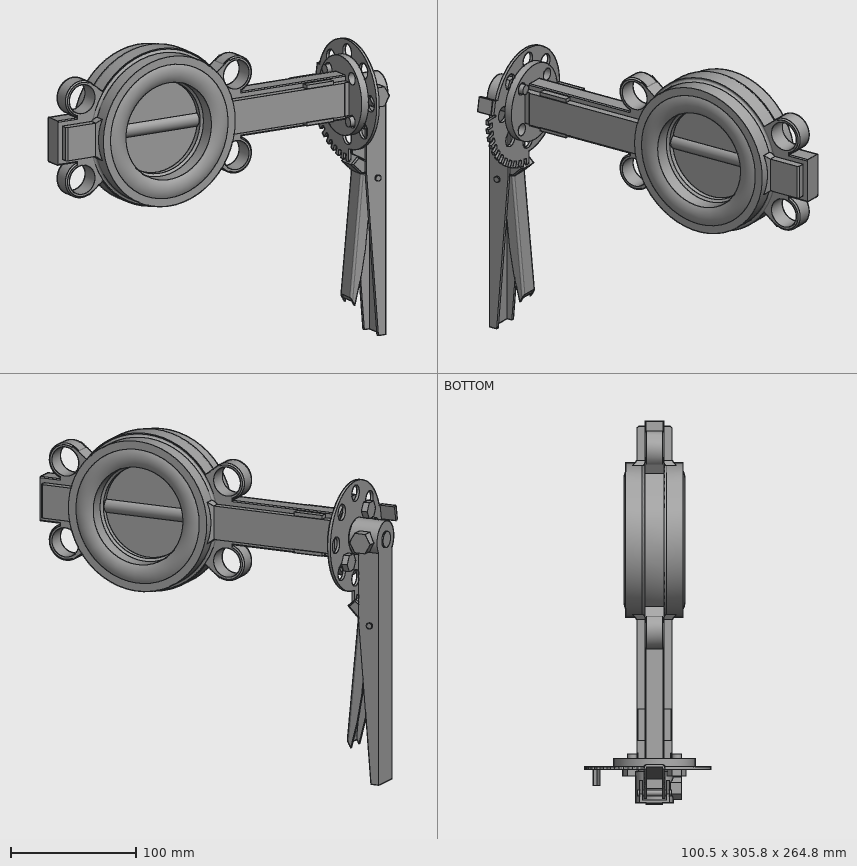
import cadquery as cq
import math


rim_radius = 64.8
rim_half_width = 7.5
drum_radius = 123.5 / 2
drum_half_width = 23.0
rim_fillet = 2.0
housing_bore_radius = 47.5

lip_radius = 110 / 2
lip_depth = 3.0
roll_crest_x = 24.5
roll_crest_radius = 49.0
roll_inner_x = 22.0
liner_bore_radius = 80.0 / 2
seat_radius = 76.0 / 2
seat_half_width = 8.0
seat_slope = 1.8

disc_half_thickness = 3.7
stem_radius = 13.0 / 2
stem_top = 211.0
stem_bottom = -76.5

web_half_width = rim_half_width
web_half_height = 18.3
web_chamfer = 1.0
core_half_width = 14.0
core_half_height = 13.8
foot_end = -94.8
foot_core_end = -90.8
foot_core_chamfer = 1.5
flare = 4.3
flare_root = 58.0
flare_tip = 63.5
core_top = 170.0
core_relief = 1.0
pad_half_height = 16.8
pad_bottom = 134.8
pad_top = 160.0

flange_radius = 65.0 / 2
flange_bottom = 174.2
flange_top = 180.5
bolt_offset = 17.7
flange_hole_diameter = 10.0
bolt_diameter = 8.0
bolt_head_flats = 13.0
bolt_head_height = 5.2
bolt_tip = 170.5

lug_y = 72.0
lug_z = 33.3
lug_radius = 30.0 / 2
lug_hole_radius = 12.0
lug_chamfer = 1.2
lug_web_end = 76.7
lug_tangent_angle = 116
lug_rim_angle = 35

plate_thickness = 2.5
plate_radius = 45.0
plate_top = flange_top + plate_thickness
plate_hole_count = 8
plate_hole_diameter = 13.0
plate_hole_circle_radius = 34.8
tooth_radius = 55.5
tooth_margin = 1.8
notch_count = 11
notch_pitch = 90 / notch_count
notch_width = 4.0
notch_root_radius = 49.8
notch_root_fillet = 1.2
stop_inner_radius = 45.5
stop_outer_radius = 48.5
stop_foot_start = 42.8
stop_lap = 2.0
stop_length = 12.2
stop_angle = 168.5
stop_top = 196.0

hub_radius = 30.0 / 2
hub_bottom = 184.5
hub_top = 209.7
spigot_radius = 12.8
lever_half_width = 12.0
lever_wall = 2.5
lever_front = 191.5
lever_taper_start = -65.5
lever_end = -200.0
lever_end_depth = 7.0
screw_flats = 16.0
screw_y = 197.8
screw_inner = 12.2
screw_outer = 21.7

pivot_y = 201.7
pivot_z = -69.5
pivot_diameter = 5.0
pivot_half_length = 13.5
trigger_half_width = 8.3
trigger_wall = 1.8
trigger_top = -65.5
trigger_bottom = -166.3
trigger_front = 189.0
trigger_lean = 9.8
trigger_tail = (182.8, -173.0)
trigger_belly = (188.3, -152.0)
trigger_waist = (195.0, -105.5)
trigger_pivot_edge = 4.3
nose_chamfer = 1.2
nose_root = (194.0, -55.0)
nose_shoulder = (186.5, -50.5)
nose_tip = (179.7, -56.5)
nose_back_y = 198.0


def box(x_range, y_range, z_range):
    """Axis-aligned block between two limits on each axis."""
    size = [limits[1] - limits[0] for limits in (x_range, y_range, z_range)]
    corner = (x_range[0], y_range[0], z_range[0])
    return cq.Workplane("XY").box(*size, centered=False).translate(corner)


def cross_block(half_x, y_range, half_z):
    """Block centred on the stem axis."""
    return box((-half_x, half_x), y_range, (-half_z, half_z))


def stem_cylinder(radius, y_start, y_end, x=0, z=0):
    """Cylinder parallel to the stem axis."""
    axis = cq.Vector(0, 1, 0)
    return cq.Workplane(cq.Solid.makeCylinder(radius, y_end - y_start, cq.Vector(x, y_start, z), axis))


def pipe_cylinder(radius, half_length, y=0, z=0):
    """Cylinder parallel to the pipe axis, centred on X = 0."""
    start = cq.Vector(-half_length, y, z)
    return cq.Workplane(cq.Solid.makeCylinder(radius, 2 * half_length, start, cq.Vector(1, 0, 0)))


def revolve_about_pipe(profile):
    return profile.close().revolve(360, (0, 0, 0), (1, 0, 0))


def extrude_side_profile(points, half_width):
    """Extrude a closed outline of (y, z) points symmetrically along X."""
    return cq.Workplane("YZ").polyline(points).close().extrude(half_width, both=True)


def hex_prism(flats, height):
    corners_diameter = flats / math.cos(math.pi / 6)
    return cq.Workplane("XY").polygon(6, corners_diameter).extrude(height)


def make_housing_ring():
    """Drum with a raised rim, rounded into the drum on both sides."""
    fillet_x = rim_half_width + rim_fillet
    fillet_r = drum_radius + rim_fillet
    sag = rim_fillet * (1 - math.sqrt(0.5))
    return revolve_about_pipe(
        cq.Workplane("XY")
        .moveTo(-drum_half_width, 0)
        .lineTo(-drum_half_width, drum_radius)
        .lineTo(-fillet_x, drum_radius)
        .threePointArc((-rim_half_width - sag, drum_radius + sag), (-rim_half_width, fillet_r))
        .lineTo(-rim_half_width, rim_radius)
        .lineTo(rim_half_width, rim_radius)
        .lineTo(rim_half_width, fillet_r)
        .threePointArc((rim_half_width + sag, drum_radius + sag), (fillet_x, drum_radius))
        .lineTo(drum_half_width, drum_radius)
        .lineTo(drum_half_width, 0)
    )


def make_flare(side):
    """Tapered root where the core meets the drum; side is 1 for the neck, -1 for the foot."""
    plane = cq.Plane((0, side * flare_root, 0), xDir=(1, 0, 0), normal=(0, side, 0))
    return (
        cq.Workplane(plane)
        .rect(2 * (core_half_width + flare), 2 * (core_half_height + flare))
        .workplane(offset=flare_tip - flare_root)
        .rect(2 * core_half_width, 2 * core_half_height)
        .loft()
    )


def make_neck():
    web = cross_block(web_half_width, (0, flange_bottom), web_half_height)
    web = web.edges("|Y").chamfer(web_chamfer)
    core = cross_block(core_half_width, (0, core_top), core_half_height)
    relieved = cross_block(core_half_width - core_relief, (0, flange_bottom), core_half_height)
    pads = cross_block(core_half_width - core_relief, (pad_bottom, pad_top), pad_half_height)
    return web.union(core).union(relieved).union(pads).union(make_flare(1))


def make_foot():
    web = cross_block(web_half_width, (foot_end, 0), web_half_height)
    web = web.edges("|Y").chamfer(web_chamfer)
    core = cross_block(core_half_width, (foot_core_end, 0), core_half_height)
    core = core.faces("<Y").edges("|Z").chamfer(foot_core_chamfer)
    return web.union(core).union(make_flare(-1))


def make_lug():
    """One lug in the +Y +Z quadrant: a rounded eye and the web that joins it to rim and neck."""
    tangent_angle = math.radians(lug_tangent_angle)
    tangent_y = lug_y + lug_radius * math.cos(tangent_angle)
    tangent_z = lug_z + lug_radius * math.sin(tangent_angle)
    rim_angle = math.radians(lug_rim_angle)
    rim_point = (rim_radius * math.cos(rim_angle), rim_radius * math.sin(rim_angle))
    web_points = [
        rim_point,
        (tangent_y, tangent_z),
        (lug_y, lug_z),
        (lug_web_end, lug_z - lug_radius + lug_chamfer),
        (lug_web_end, core_half_height),
        (housing_bore_radius, core_half_height),
    ]
    web = extrude_side_profile(web_points, rim_half_width)
    eye = pipe_cylinder(lug_radius, rim_half_width, lug_y, lug_z).edges().chamfer(lug_chamfer)
    return web.union(eye)


def make_lug_hole():
    return pipe_cylinder(lug_hole_radius, rim_half_width, lug_y, lug_z)


def four_quadrants(shape):
    """The shape and its mirror images in the XY and XZ planes."""
    mirrored = [shape, shape.mirror("XY")]
    return mirrored + [copy.mirror("XZ") for copy in mirrored]


def bolt_places():
    return [(sx * bolt_offset, sz * bolt_offset) for sx in (-1, 1) for sz in (-1, 1)]


def make_flange():
    flange = stem_cylinder(flange_radius, flange_bottom, flange_top)
    for x, z in bolt_places():
        flange = flange.cut(stem_cylinder(flange_hole_diameter / 2, flange_bottom, flange_top, x, z))
    return flange


def make_housing(liner, disc):
    housing = make_housing_ring().union(make_neck()).union(make_foot()).union(make_flange())
    for lug in four_quadrants(make_lug()):
        housing = housing.union(lug)
    for hole in four_quadrants(make_lug_hole()):
        housing = housing.cut(hole)
    bore = pipe_cylinder(housing_bore_radius, drum_half_width)
    return housing.cut(bore).cut(liner).cut(disc)


def make_liner(disc):
    """Rubber sleeve with a lip and a rounded roll on each face and a raised seat for the disc."""
    lip_x = drum_half_width - lip_depth
    half = revolve_about_pipe(
        cq.Workplane("XY")
        .moveTo(0, seat_radius)
        .lineTo(0, housing_bore_radius)
        .lineTo(lip_x, housing_bore_radius)
        .lineTo(lip_x, lip_radius)
        .lineTo(drum_half_width, lip_radius)
        .threePointArc((roll_crest_x, roll_crest_radius), (roll_inner_x, liner_bore_radius))
        .lineTo(seat_half_width + seat_slope, liner_bore_radius)
        .lineTo(seat_half_width, seat_radius)
    )
    return half.union(half.mirror("YZ")).cut(disc)


def make_disc():
    plate = pipe_cylinder(seat_radius, disc_half_thickness)
    stem = stem_cylinder(stem_radius, stem_bottom, stem_top)
    return plate.union(stem)


def make_bolt(x, z):
    head = hex_prism(bolt_head_flats, bolt_head_height).rotate((0, 0, 0), (1, 0, 0), -90)
    head = head.translate((x, plate_top, z))
    return head.union(stem_cylinder(bolt_diameter / 2, bolt_tip, plate_top, x, z))


def turn_about_stem(shape, degrees):
    """Turn a shape from the +X direction towards +Z."""
    return shape.rotate((0, 0, 0), (0, 1, 0), -degrees)


def make_tooth_sector():
    """Quarter disc in the -X -Z quadrant, reaching a little past both axes."""
    reach = 2 * tooth_radius
    quadrant = box((-reach, tooth_margin), (flange_top, plate_top), (-reach, tooth_margin))
    return stem_cylinder(tooth_radius, flange_top, plate_top).intersect(quadrant)


def make_notch(index):
    heights = (flange_top, plate_top)
    slot = box((notch_root_radius, 2 * tooth_radius), heights, (-notch_width / 2, notch_width / 2))
    slot = slot.edges("<X and |Y").fillet(notch_root_fillet)
    return turn_about_stem(slot, 180 + (index + 0.5) * notch_pitch)


def make_stop():
    """Upright tab on the rim of the notch plate, with its foot in the plate."""
    z_range = (-stop_length / 2, stop_length / 2)
    foot = box((stop_foot_start, stop_inner_radius + stop_lap), (flange_top, plate_top), z_range)
    tab = box((stop_inner_radius, stop_outer_radius), (plate_top, stop_top), z_range)
    return turn_about_stem(foot.union(tab), stop_angle)


def make_notch_plate(disc, bolts):
    plate = stem_cylinder(plate_radius, flange_top, plate_top).union(make_tooth_sector())
    for index in range(notch_count):
        plate = plate.cut(make_notch(index))
    hole = stem_cylinder(plate_hole_diameter / 2, flange_top, plate_top, plate_hole_circle_radius)
    for index in range(plate_hole_count):
        plate = plate.cut(turn_about_stem(hole, index * 360 / plate_hole_count))
    plate = plate.union(make_stop()).cut(disc)
    for bolt in bolts:
        plate = plate.cut(bolt)
    return plate


def make_lever(disc, trigger):
    """Clamp hub with a tapering channel handle that is open towards the valve."""
    handle_points = [
        (hub_top, 0),
        (hub_top, lever_end),
        (hub_top - lever_end_depth, lever_end),
        (lever_front, lever_taper_start),
        (lever_front, 0),
    ]
    handle = extrude_side_profile(handle_points, lever_half_width)
    channel_half_width = lever_half_width - lever_wall
    channel = box(
        (-channel_half_width, channel_half_width),
        (plate_top, hub_top - lever_wall),
        (lever_end, 0),
    )
    hub = stem_cylinder(hub_radius, hub_bottom, hub_top)
    spigot = stem_cylinder(spigot_radius, plate_top, hub_bottom)
    screw = hex_prism(screw_flats, screw_outer - screw_inner)
    screw = screw.rotate((0, 0, 0), (0, 0, 1), 90).rotate((0, 0, 0), (0, 1, 0), 90)
    screw = screw.translate((screw_inner, screw_y, 0))
    return handle.cut(channel).union(hub).union(spigot).union(screw).cut(disc).cut(trigger)


def make_trigger_bar():
    """Solid bar with the outline of the trigger, rounded along its front edges."""
    bar = (
        cq.Workplane("YZ")
        .moveTo(trigger_front, trigger_top)
        .lineTo(trigger_front - trigger_lean, trigger_bottom)
        .lineTo(*trigger_tail)
        .threePointArc(trigger_belly, trigger_waist)
        .lineTo(pivot_y + trigger_pivot_edge, pivot_z)
        .lineTo(pivot_y, trigger_top)
        .close()
        .extrude(trigger_half_width, both=True)
    )
    front_direction = cq.Vector(0, -trigger_lean, trigger_bottom - trigger_top)
    return bar.edges(cq.selectors.ParallelDirSelector(front_direction)).fillet(trigger_wall)


def make_trigger_trough():
    """Space between the trigger sides, open towards the handle and at the tail."""
    bottom_y = trigger_front - trigger_lean + trigger_wall
    points = [
        (trigger_front + trigger_wall, trigger_top),
        (bottom_y, trigger_bottom),
        (bottom_y, lever_end),
        (hub_top, lever_end),
        (hub_top, trigger_top),
    ]
    return extrude_side_profile(points, trigger_half_width - trigger_wall)


def make_trigger(plate):
    """Channel on a cross pin, with a chamfered nose that bears on the notch plate."""
    nose_points = [
        nose_root,
        nose_shoulder,
        nose_tip,
        (trigger_front, trigger_top),
        (nose_back_y, trigger_top),
    ]
    nose = extrude_side_profile(nose_points, trigger_half_width)
    nose = nose.faces("<X or >X").edges().chamfer(nose_chamfer)
    pin = pipe_cylinder(pivot_diameter / 2, pivot_half_length, pivot_y, pivot_z)
    channel = make_trigger_bar().cut(make_trigger_trough())
    return channel.union(nose).union(pin).cut(plate)


disc = make_disc()
liner = make_liner(disc)
bolts = [make_bolt(-bolt_offset, bolt_offset), make_bolt(bolt_offset, -bolt_offset)]
notch_plate = make_notch_plate(disc, bolts)
trigger = make_trigger(notch_plate)
lever = make_lever(disc, trigger)
housing = make_housing(liner, disc)
result = cq.Compound.makeCompound(
    [housing.val(), liner.val(), disc.val(), notch_plate.val(), lever.val(), trigger.val()]
    + [bolt.val() for bolt in bolts]
)